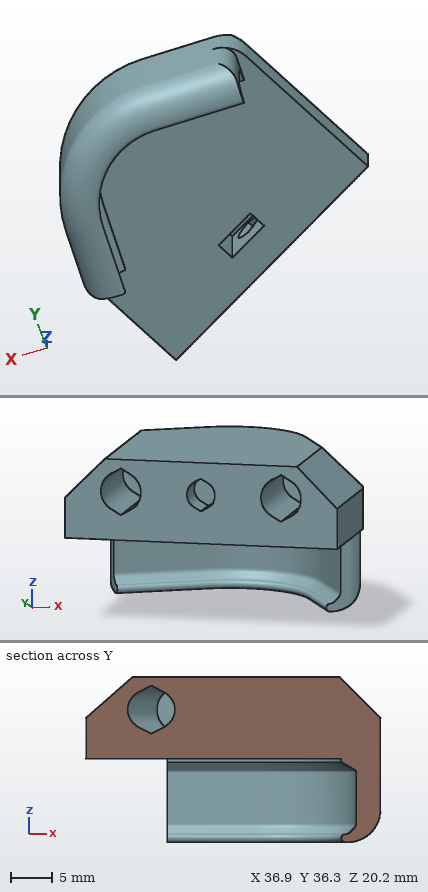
import cadquery as cq
import math


corner_radius = 14.55
block_height = 10.0
top_chamfer = 5.0
face_width = 34.0
face_angle = 28.6
left_side_length = 22.82
side_corner_radius = 4.0

back_wall_length = 26.0
wall_depth = 10.15
wall_thickness = 3.0
neck_thickness = 4.8
neck_height = 0.4
neck_slope = 30.0
neck_fillet = 0.27
wall_bottom_radius = 4.0
wall_end_radius = 2.0
lip_rise = 45.0
lip_radius = 0.5
lip_fillet = 0.75

hole_spacing = 10.0
hole_height = 6.0
side_hole_diameter = 5.0
side_hole_depth = 12.0
centre_hole_diameter = 3.5
centre_hole_depth = 4.0
nut_width = 5.6
nut_thickness = 2.3
hole_tip_angle = 30.0

sine = math.sin(math.radians(face_angle))
cosine = math.cos(math.radians(face_angle))
right_wall_length = (face_width - back_wall_length * cosine) / sine
left_corner = (corner_radius - back_wall_length, corner_radius)
right_corner = (corner_radius, corner_radius - right_wall_length)
face_left = (left_corner[0] - left_side_length * sine, left_corner[1] - left_side_length * cosine)
face_right = (face_left[0] + face_width * cosine, face_left[1] - face_width * sine)
face_middle = ((face_left[0] + face_right[0]) / 2, (face_left[1] + face_right[1]) / 2)
drilled_face = cq.Plane(
    origin=(face_middle[0], face_middle[1], hole_height),
    xDir=(cosine, -sine, 0),
    normal=(-sine, -cosine, 0),
)


def sharp_block():
    """Block with one large rounded corner and its other vertical edges sharp."""
    diagonal = corner_radius * math.sqrt(0.5)
    return (
        cq.Workplane("XY")
        .moveTo(*face_left)
        .lineTo(*left_corner)
        .lineTo(0, corner_radius)
        .threePointArc((diagonal, diagonal), (corner_radius, 0))
        .lineTo(*right_corner)
        .lineTo(*face_right)
        .close()
        .extrude(block_height)
    )


def edge_near(point, height):
    """Selector for the edge nearest to a plan point at the given height."""
    return cq.selectors.NearestToPointSelector((point[0], point[1], height))


def make_block():
    """Chamfered block; the side corners are rounded straight through the chamfers."""
    face_edge = edge_near(face_middle, block_height)
    top_edges = sharp_block().faces(">Z").edges(cq.selectors.InverseSelector(face_edge))
    rounded = sharp_block()
    for corner in (left_corner, right_corner):
        rounded = rounded.edges(edge_near(corner, block_height / 2)).fillet(side_corner_radius)
    return top_edges.chamfer(top_chamfer).intersect(rounded)


def wall_profile(plane):
    """Wall section: distance from the corner axis across, height up."""
    neck = corner_radius - neck_thickness
    inner = corner_radius - wall_thickness
    slope_drop = (neck_thickness - wall_thickness) * math.tan(math.radians(neck_slope))
    slope_foot = -neck_height - slope_drop
    neck_tangent = neck_fillet * math.tan(math.radians((90 - neck_slope) / 2))
    neck_run = neck_tangent * math.cos(math.radians(neck_slope))
    neck_climb = neck_tangent * math.sin(math.radians(neck_slope))

    lip_top = -wall_depth + 2 * lip_radius
    lip_centre = neck + lip_radius
    blend_tangent = lip_fillet * math.tan(math.radians(lip_rise / 2))
    blend_run = blend_tangent * math.cos(math.radians(lip_rise))
    ramp_foot = lip_centre + blend_tangent
    ramp_head = lip_top + (inner - ramp_foot) * math.tan(math.radians(lip_rise))

    arc_inset = wall_bottom_radius * (1 - math.sqrt(0.5))
    return (
        cq.Workplane(plane)
        .moveTo(corner_radius, 0)
        .lineTo(neck, 0)
        .lineTo(neck, -neck_height)
        .lineTo(inner - neck_run, slope_foot + neck_climb)
        .tangentArcPoint((inner, slope_foot - neck_tangent), relative=False)
        .lineTo(inner, ramp_head + blend_tangent)
        .tangentArcPoint((inner - blend_run, ramp_head - blend_run), relative=False)
        .lineTo(ramp_foot + blend_run, lip_top + blend_run)
        .tangentArcPoint((lip_centre, lip_top), relative=False)
        .threePointArc((neck, lip_top - lip_radius), (lip_centre, -wall_depth))
        .lineTo(corner_radius - wall_bottom_radius, -wall_depth)
        .threePointArc(
            (corner_radius - arc_inset, -wall_depth + arc_inset),
            (corner_radius, -wall_depth + wall_bottom_radius),
        )
        .close()
    )


def make_wall():
    """Hooked wall along the back, round the large corner and along the right side."""
    right_run = wall_profile("XZ").extrude(right_wall_length - corner_radius)
    bend = wall_profile("XZ").revolve(90, (0, 0, 0), (0, 1, 0))
    back_run = wall_profile("YZ").extrude(corner_radius - back_wall_length)
    wall = right_run.union(bend).union(back_run)
    end_block = (
        cq.Workplane("XY")
        .box(back_wall_length, right_wall_length, wall_depth, centered=False)
        .translate((left_corner[0], right_corner[1], -wall_depth))
    )
    for corner in (left_corner, right_corner):
        end_block = end_block.edges(edge_near(corner, -wall_depth / 2)).fillet(wall_end_radius)
    return wall.intersect(end_block)


def pointed_hole(offset, diameter, depth):
    """Hole cutter, round with a pointed roof and floor, entering the drilled face squarely."""
    radius = diameter / 2
    tilt = math.radians(hole_tip_angle)
    touch_x = radius * math.sin(tilt)
    touch_y = radius * math.cos(tilt)
    tip = radius / math.cos(tilt)
    return (
        cq.Workplane(drilled_face)
        .center(offset, 0)
        .moveTo(0, tip)
        .lineTo(touch_x, touch_y)
        .threePointArc((radius, 0), (touch_x, -touch_y))
        .lineTo(0, -tip)
        .lineTo(-touch_x, -touch_y)
        .threePointArc((-radius, 0), (-touch_x, touch_y))
        .close()
        .extrude(-depth)
    )


def nut_slot():
    """Slot cutter for a nut behind the centre hole, open through the underside of the block."""
    slot_top = nut_width / 2
    return (
        cq.Workplane(drilled_face)
        .workplane(offset=-centre_hole_depth)
        .center(0, (slot_top - hole_height) / 2)
        .rect(nut_width, slot_top + hole_height)
        .extrude(-nut_thickness)
    )


result = make_block().union(make_wall())
for side in (-1, 1):
    result = result.cut(pointed_hole(side * hole_spacing, side_hole_diameter, side_hole_depth))
result = result.cut(pointed_hole(0, centre_hole_diameter, centre_hole_depth))
result = result.cut(nut_slot())